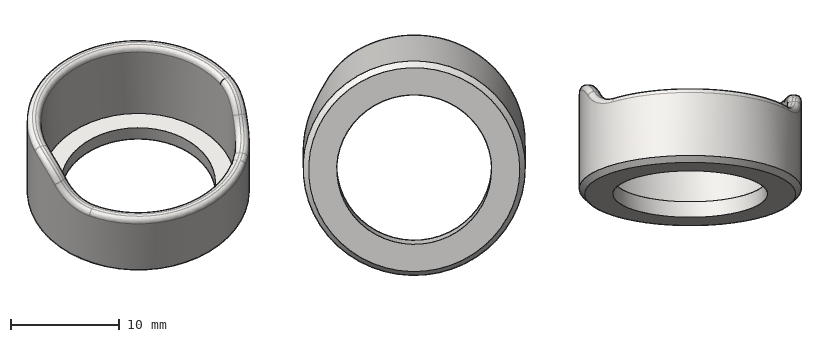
import cadquery as cq
import math

outer_radius = 10.22
bore_radius = 8.95
hole_radius = 7.11
height = 10.08
floor_thickness = 1.5
bottom_chamfer = 0.51
rim_fillet = 0.5

rim_drop = 3.0
low_direction = -47.5
low_half_angle = 53.2
high_half_angle = 95.0
low_height = height - rim_drop

slope_middle_angle = (low_half_angle + high_half_angle) / 2
arc_span = outer_radius * math.radians(high_half_angle - low_half_angle) / 2
arc_rise = rim_drop / 2
arc_radius = (arc_span**2 + arc_rise**2) / (2 * arc_rise)

trim_margin = 0.4
points_per_arc = 9


def slope_height(half_angle):
    """Height of the rim at an angle measured from the low direction."""
    if half_angle < slope_middle_angle:
        run = outer_radius * math.radians(half_angle - low_half_angle)
        return low_height + arc_radius - math.sqrt(arc_radius**2 - run**2)
    run = outer_radius * math.radians(high_half_angle - half_angle)
    return height - arc_radius + math.sqrt(arc_radius**2 - run**2)


def rim_point(radius, half_angle, side, z):
    angle = math.radians(low_direction + side * half_angle)
    return cq.Vector(radius * math.cos(angle), radius * math.sin(angle), z)


def slope_edge(radius, start, end, side):
    """One arc of a rim slope, wrapped around a cylinder of the given radius."""
    angles = [start + (end - start) * i / (points_per_arc - 1) for i in range(points_per_arc)]
    points = [rim_point(radius, a, side, slope_height(a)) for a in angles]
    return cq.Edge.makeSpline(points)


def level_edge(radius, half_angle, middle_angle, z):
    """Level arc joining the two slopes at half_angle, by way of middle_angle."""
    return cq.Edge.makeThreePointArc(
        rim_point(radius, half_angle, -1, z),
        rim_point(radius, middle_angle, 1, z),
        rim_point(radius, half_angle, 1, z),
    )


def waste_above(make_edge):
    """Solid standing on the radial surface swept by one rim edge."""
    inner_edge = make_edge(bore_radius - trim_margin)
    outer_edge = make_edge(outer_radius + trim_margin)
    surface = cq.Face.makeRuledSurface(inner_edge, outer_edge)
    return cq.Solid.extrudeLinear(surface, cq.Vector(0, 0, rim_drop + 2 * trim_margin))


def trim_rim(cup):
    level_arcs = [(low_half_angle, 0, low_height), (high_half_angle, 180, height)]
    for half_angle, middle_angle, z in level_arcs:
        waste = waste_above(lambda radius: level_edge(radius, half_angle, middle_angle, z))
        cup = cup.cut(cq.Workplane(waste))
    slope_arcs = [(low_half_angle, slope_middle_angle), (slope_middle_angle, high_half_angle)]
    for side in (-1, 1):
        for start, end in slope_arcs:
            waste = waste_above(lambda radius: slope_edge(radius, start, end, side))
            cup = cup.cut(cq.Workplane(waste))
    return cup


cup = cq.Workplane("XY").circle(outer_radius).extrude(height + trim_margin)
cup = cup.faces("<Z").chamfer(bottom_chamfer)
bore = cq.Workplane("XY").workplane(offset=floor_thickness).circle(bore_radius).extrude(height)
hole = cq.Workplane("XY").circle(hole_radius).extrude(floor_thickness)
cup = trim_rim(cup.cut(bore).cut(hole))

band_floor = low_height - trim_margin
rim_band = cq.selectors.BoxSelector(
    (-2 * outer_radius, -2 * outer_radius, band_floor),
    (2 * outer_radius, 2 * outer_radius, height + trim_margin),
    boundingbox=True,
)
across_rim = cq.selectors.TypeSelector("LINE")
result = cup.edges(rim_band - across_rim).fillet(rim_fillet)